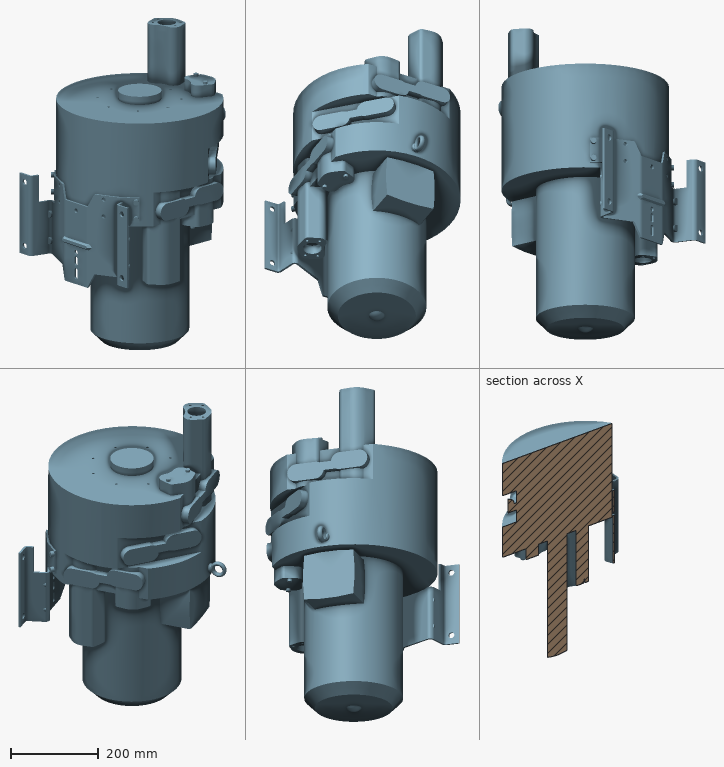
import math

import cadquery as cq


drum_radius = 191
stage_count = 3
stage_height = 80.5
stage_turn = 45
drum_height = 246.5
top_disc_radius = 49.5
top_disc_height = 19.5
top_hole_count = 8
top_hole_circle_radius = 95.5
small_hole_radius = 3
small_hole_depth = 10
overlap = 1

motor_radius = 113
motor_bottom_z = -328
motor_chamfer = 24
dome_radius = 18
dome_height = 8.03

box_center_z = -61
box_corner_x = 59.5
box_corner_z = 53
box_bulge_x = 62.5
box_bulge_z = 57
box_front_y = 167

flat_distance = 160
plate_distance = 177
plate_half_length = 97.13
plate_end_radius = 20.5
plate_end_offset = 8
plate_lobe_end = 9
plate_bridge_length = 46
plate_bridge_height = 20
port_pitch_radius = 147.6
port_angle = 22.8

port_half_width = 40.5
port_crown = 34.3
crown_radius = 36.7
shoulder_angle = math.radians(28.5)
shoulder_end = 35
lobe_radius = 18
lobe_depth = 12.5
lobe_center = port_half_width - lobe_radius
lobe_angle = math.radians(67)

pipe_top_z = 386
pipe_bore_radius = 21.3
pipe_bore_depth = 23
pipe_screw_tangential = 28.2
pipe_screw_radial = 14.3
cover_height = 28.6
cover_screw_spacing = 63
cover_screw_radius = 5.5
cover_screw_height = 6
lower_pipe_bottom_z = -145

eye_center_y = 213
eye_center_z = 21
eye_outer_radius = 19
eye_hole_radius = 9.8
eye_half_thickness = 6
eye_collar_radius = 10.5
eye_collar_end_y = 200
eye_collar_chamfer = 3
eye_stem_radius = 5

sheet = 5
bend_radius = 5.5
wide_bend_radius = 15
tangent_distance = 195
panel_angle = 25
ear_angle = 43.5
ear_end_offset = 13
ear_screw_offset = 6
center_y = -197
bracket_top_z = 70
bracket_bottom_z = -121.5
tongue_top_z = 37.7
tongue_bottom_z = -156
tongue_half_width = 38
shoulder_half_width = 54
relief_bottom_z = 5
relief_top_z = 11.6
relief_edge_x = 107
flange_knee_x = 132
foot_corner_x = 146.6
foot_end_x = 182.3
foot_bottom_y = -205.84
upper_flange_y = -185
foot_hole_x = 164.2
foot_hole_zs = (51.5, -100.8)
foot_hole_radius = 7
screw_row_zs = (60.5, 20)
panel_hole_x = 75
panel_hole_radius = 4.5
ear_screw_radius = 6.5
ear_screw_height = 8
flange_bolt_x = 130
flange_bolt_base_y = -156.5
flange_bolt_zs = (-26.5, -90)
flange_bolt_radius = 8
flange_bolt_height = 4
center_hole_radius = 5.5
center_hole_zs = (20, -80)
center_slots = ((-90, -111.5), (-118, -144))
spacer_radius = 15
rib_z = -58.2
rib_length = 99
rib_point_length = 8
rib_width = 18.4
rib_base_y = -194
rib_crest_y = -202
rib_taper = 35


def cylinder(radius, height, start, direction):
    return cq.Workplane(cq.Solid.makeCylinder(radius, height, cq.Vector(*start), cq.Vector(*direction)))


def block(x_range, y_range, z_range):
    size = [high - low for low, high in (x_range, y_range, z_range)]
    return cq.Workplane("XY").box(*size, centered=False).translate((x_range[0], y_range[0], z_range[0]))


def both_sides(body):
    return body.union(body.mirror("YZ"))



def make_drum():
    drum = cq.Workplane("XY").circle(drum_radius).extrude(drum_height)
    disc = cq.Workplane("XY").workplane(offset=drum_height).circle(top_disc_radius).extrude(top_disc_height)
    holes = (
        cq.Workplane("XY")
        .workplane(offset=drum_height - small_hole_depth)
        .polarArray(top_hole_circle_radius, 0, 360, top_hole_count)
        .circle(small_hole_radius)
        .extrude(small_hole_depth)
    )
    return drum.union(disc).cut(holes)


def make_motor():
    dome_bottom_z = motor_bottom_z - dome_height
    sphere_radius = (dome_radius**2 + dome_height**2) / (2 * dome_height)
    half_angle = math.asin(dome_radius / sphere_radius) / 2
    motor = (
        cq.Workplane("XY")
        .workplane(offset=motor_bottom_z)
        .circle(motor_radius)
        .extrude(-motor_bottom_z)
        .faces("<Z")
        .chamfer(motor_chamfer)
    )
    dome = (
        cq.Workplane("XZ")
        .moveTo(0, motor_bottom_z)
        .lineTo(dome_radius, motor_bottom_z)
        .threePointArc(
            (sphere_radius * math.sin(half_angle), dome_bottom_z + sphere_radius * (1 - math.cos(half_angle))),
            (0, dome_bottom_z),
        )
        .close()
        .revolve(360, (0, 0, 0), (0, 1, 0))
    )
    return motor.union(dome)


def make_terminal_box():
    return (
        cq.Workplane("XZ", origin=(0, box_front_y, box_center_z))
        .moveTo(-box_corner_x, box_corner_z)
        .threePointArc((0, box_bulge_z), (box_corner_x, box_corner_z))
        .threePointArc((box_bulge_x, 0), (box_corner_x, -box_corner_z))
        .threePointArc((0, -box_bulge_z), (-box_corner_x, -box_corner_z))
        .threePointArc((-box_bulge_x, 0), (-box_corner_x, box_corner_z))
        .close()
        .extrude(box_front_y)
    )



def stage_pocket(bottom_z, top_z):
    return block((-drum_radius, drum_radius), (flat_distance, drum_radius + overlap), (bottom_z, top_z))


def link_plate(center_z):
    thickness = plate_distance - flat_distance
    lobe_length = plate_half_length - plate_lobe_end
    lobe_x = (plate_half_length + plate_lobe_end) / 2
    plane = cq.Workplane("XZ", origin=(0, plate_distance, center_z))
    plate = plane.rect(plate_bridge_length, plate_bridge_height).extrude(thickness)
    for side in (-1, 1):
        lobe = plane.center(side * lobe_x, -side * plate_end_offset)
        plate = plate.union(lobe.slot2D(lobe_length, 2 * plate_end_radius).extrude(thickness))
    return plate


def port_plane(side, z):
    """Plane at a port: local x is tangential, local y points away from the shaft."""
    angle = math.radians(90 - side * port_angle)
    radial = cq.Vector(math.cos(angle), math.sin(angle), 0)
    tangential = cq.Vector(radial.y, -radial.x, 0)
    origin = radial * port_pitch_radius + cq.Vector(0, 0, z)
    return cq.Workplane(cq.Plane(origin=origin, xDir=tangential, normal=(0, 0, 1)))


def port_body(side, bottom_z, top_z):
    """Pipe or cover: side -1 lies towards -X and side 1 towards +X of the stage."""

    def lobe_point(angle):
        return lobe_center + lobe_radius * math.cos(angle), -lobe_depth - lobe_radius * math.sin(angle)

    joint_x, joint_y = lobe_point(math.pi - lobe_angle)
    middle_x, middle_y = lobe_point((math.pi - lobe_angle) / 2)
    crown_x = crown_radius * math.sin(shoulder_angle)
    crown_y = port_crown - crown_radius * (1 - math.cos(shoulder_angle))
    shoulder_y = crown_y - (shoulder_end - crown_x) * math.tan(shoulder_angle)
    corner_run = port_half_width - shoulder_end
    side_y = shoulder_y - corner_run * (math.tan(shoulder_angle) + 1 / math.cos(shoulder_angle))
    dip_center_y = -lobe_depth - lobe_center * math.tan(lobe_angle)
    dip_y = dip_center_y + math.hypot(joint_x, joint_y - dip_center_y)
    return (
        port_plane(side, bottom_z)
        .moveTo(-port_half_width, -lobe_depth)
        .lineTo(-port_half_width, side_y)
        .tangentArcPoint((-shoulder_end, shoulder_y), relative=False)
        .lineTo(-crown_x, crown_y)
        .threePointArc((0, port_crown), (crown_x, crown_y))
        .lineTo(shoulder_end, shoulder_y)
        .tangentArcPoint((port_half_width, side_y), relative=False)
        .lineTo(port_half_width, -lobe_depth)
        .threePointArc((middle_x, middle_y), (joint_x, joint_y))
        .threePointArc((0, dip_y), (-joint_x, joint_y))
        .threePointArc((-middle_x, middle_y), (-port_half_width, -lobe_depth))
        .close()
        .extrude(top_z - bottom_z)
    )


def pipe_openings(side, end_z, inward):
    bore = port_plane(side, end_z).circle(pipe_bore_radius).extrude(inward * pipe_bore_depth)
    screws = (
        port_plane(side, end_z)
        .rect(2 * pipe_screw_tangential, 2 * pipe_screw_radial, forConstruction=True)
        .vertices()
        .circle(small_hole_radius)
        .extrude(inward * small_hole_depth)
    )
    return bore.union(screws)


def cover_screws(side, face_z, outward):
    return (
        port_plane(side, face_z)
        .rarray(cover_screw_spacing, 1, 2, 1)
        .circle(cover_screw_radius)
        .extrude(outward * cover_screw_height)
    )


def add_top_ports(body):
    cover_z = drum_height + cover_height
    stage_z = (stage_count - 1) * stage_height
    body = body.union(port_body(-1, stage_z, pipe_top_z)).cut(pipe_openings(-1, pipe_top_z, -1))
    return body.union(port_body(1, stage_z, cover_z)).union(cover_screws(1, cover_z, 1))


def make_bottom_ports():
    pipe = port_body(1, lower_pipe_bottom_z, stage_height).cut(pipe_openings(1, lower_pipe_bottom_z, 1))
    cover = port_body(-1, -cover_height, stage_height).union(cover_screws(-1, -cover_height, -1))
    return pipe.union(cover)


def add_stages(body):
    """Each stage faces one turn further than the stage below; the top one faces +Y."""
    last = stage_count - 1
    z_axis = ((0, 0, 0), (0, 0, 1))
    for index in range(stage_count):
        bottom_z = index * stage_height
        top_z = drum_height if index == last else bottom_z + stage_height
        turn = stage_turn * (index - last)
        body = body.cut(stage_pocket(bottom_z, top_z).rotate(*z_axis, turn))
        plate = link_plate(bottom_z + stage_height / 2)
        body = body.union(plate.rotate(*z_axis, turn))
    body = add_top_ports(body)
    return body.union(make_bottom_ports().rotate(*z_axis, -last * stage_turn))



def make_lifting_eye():
    ring_radius = (eye_outer_radius + eye_hole_radius) / 2
    ring = (
        cq.Workplane("XY", origin=(0, eye_center_y, eye_center_z))
        .center(0, ring_radius)
        .ellipse(eye_half_thickness, (eye_outer_radius - eye_hole_radius) / 2)
        .revolve(360, (-1, -ring_radius, 0), (1, -ring_radius, 0))
    )
    base_y = flat_distance
    collar = cylinder(eye_collar_radius, eye_collar_end_y - base_y, (0, base_y, eye_center_z), (0, 1, 0))
    collar = collar.faces(">Y").chamfer(eye_collar_chamfer)
    stem_length = eye_center_y - ring_radius - base_y
    stem = cylinder(eye_stem_radius, stem_length, (0, base_y, eye_center_z), (0, 1, 0))
    return ring.union(collar).union(stem)



def tangent_normal(angle):
    """Outward direction at an angle from -Y towards -X."""
    return -math.sin(math.radians(angle)), -math.cos(math.radians(angle))


def sheet_strip(path, bottom_z, top_z):
    """Folded sheet with sharp bends whose middle plane follows the path."""
    headings = [math.atan2(b[1] - a[1], b[0] - a[0]) for a, b in zip(path, path[1:])]
    starts = headings[:1] + headings
    ends = headings + headings[-1:]
    offsets = []
    for before, after in zip(starts, ends):
        reach = sheet / 2 / math.cos((after - before) / 2)
        left = (before + after) / 2 + math.pi / 2
        offsets.append((reach * math.cos(left), reach * math.sin(left)))
    left_side = [(p[0] + o[0], p[1] + o[1]) for p, o in zip(path, offsets)]
    right_side = [(p[0] - o[0], p[1] - o[1]) for p, o in zip(path, offsets)]
    outline = left_side + right_side[::-1]
    return cq.Workplane("XY").workplane(offset=bottom_z).polyline(outline).close().extrude(top_z - bottom_z)


def round_bends(strip, bends, inner_radius):
    """Round the vertical edges at the bends: the short radius inside, the long one outside."""
    middle_z = strip.val().BoundingBox().center.z
    for (x, y), (inside_x, inside_y) in bends:
        for side, radius in ((1, inner_radius), (-1, inner_radius + sheet)):
            corner = (x + side * inside_x * sheet / 2, y + side * inside_y * sheet / 2, middle_z)
            strip = strip.edges("|Z").edges(cq.selectors.NearestToPointSelector(corner)).fillet(radius)
    return strip


middle_distance = tangent_distance - sheet / 2


def panel_x_at(y):
    normal_x, normal_y = tangent_normal(panel_angle)
    return (middle_distance - normal_y * y) / normal_x


def panel_y_at(x):
    normal_x, normal_y = tangent_normal(panel_angle)
    return (middle_distance - normal_x * x) / normal_y


def ear_point(offset):
    """Point on the ear's middle plane, at an offset outward from where it faces the shaft."""
    normal_x, normal_y = tangent_normal(ear_angle)
    return (
        normal_x * middle_distance + normal_y * offset,
        normal_y * middle_distance - normal_x * offset,
    )


def ear_corner():
    """Corner where the middle planes of panel and ear meet."""
    normal_x, normal_y = tangent_normal((panel_angle + ear_angle) / 2)
    reach = middle_distance / math.cos(math.radians((ear_angle - panel_angle) / 2))
    return normal_x * reach, normal_y * reach


def front_prism(points):
    """Prism through the whole bracket depth, outlined in X and Z."""
    return cq.Workplane("XZ").polyline(points).close().extrude(-2 * foot_bottom_y)


def make_center_panel():
    middle_y = center_y + sheet / 2
    corner = ear_corner()
    bend = (panel_x_at(middle_y), middle_y)
    path = [corner, bend, (-bend[0], bend[1]), (-corner[0], corner[1])]
    strip = sheet_strip(path, tongue_bottom_z, bracket_top_z)
    strip = round_bends(strip, [(point, (0, 1)) for point in path[1:3]], wide_bend_radius)
    panel_end_x = -corner[0] + sheet
    half_outline = [
        (tongue_half_width, tongue_bottom_z),
        (shoulder_half_width, bracket_bottom_z),
        (panel_end_x, bracket_bottom_z),
        (panel_end_x, bracket_top_z),
        (shoulder_half_width, bracket_top_z),
        (tongue_half_width, tongue_top_z),
    ]
    mirrored = [(-x, z) for x, z in reversed(half_outline)]
    return strip.intersect(front_prism(half_outline + mirrored))


def panel_start():
    """Point inside the panel from which the ear and the flange continue it."""
    start_x = sheet - relief_edge_x
    return start_x, panel_y_at(start_x)


def make_ear():
    return sheet_strip([panel_start(), ear_corner(), ear_point(ear_end_offset)], relief_top_z, bracket_top_z)


def make_flange():
    foot_y = foot_bottom_y + sheet / 2
    knee = (-flange_knee_x, panel_y_at(-flange_knee_x))
    foot_corner = (-foot_corner_x, foot_y)
    path = [panel_start(), knee, foot_corner, (-foot_end_x, foot_y)]
    flange = sheet_strip(path, bracket_bottom_z, bracket_top_z)
    flange = round_bends(flange, [(knee, (1, -1)), (foot_corner, (-1, 1))], bend_radius)
    upper_cut = block((-foot_end_x, 0), (upper_flange_y, 0), (relief_bottom_z, bracket_top_z))
    return flange.cut(upper_cut)


def bracket_openings():
    depth = -2 * foot_bottom_y
    plane = cq.Workplane("XZ")
    feet = [(side * foot_hole_x, z) for side in (-1, 1) for z in foot_hole_zs]
    panels = [(side * panel_hole_x, z) for side in (-1, 1) for z in screw_row_zs]
    center = [(0, z) for z in center_hole_zs]
    openings = plane.pushPoints(feet).circle(foot_hole_radius).extrude(depth)
    openings = openings.union(plane.pushPoints(panels).circle(panel_hole_radius).extrude(depth))
    openings = openings.union(plane.pushPoints(center).circle(center_hole_radius).extrude(depth))
    for top_z, bottom_z in center_slots:
        slot = plane.center(0, (top_z + bottom_z) / 2)
        openings = openings.union(slot.slot2D(top_z - bottom_z, 2 * center_hole_radius, 90).extrude(depth))
    return openings


def make_fasteners():
    screw_length = sheet / 2 + ear_screw_height
    screw_x, screw_y = ear_point(ear_screw_offset)
    normal_x, normal_y = tangent_normal(ear_angle)
    fasteners = cq.Workplane("XY")
    for z in screw_row_zs:
        screw = cylinder(ear_screw_radius, screw_length, (screw_x, screw_y, z), (normal_x, normal_y, 0))
        fasteners = fasteners.union(screw)
    bolt_length = sheet / 2 + flange_bolt_height
    for z in flange_bolt_zs:
        bolt_base = (-flange_bolt_x, flange_bolt_base_y, z)
        fasteners = fasteners.union(cylinder(flange_bolt_radius, bolt_length, bolt_base, (0, -1, 0)))
    return fasteners


def make_rib():
    """Ridge across the panel with sloped flanks and pointed ends."""
    half_length = rib_length / 2
    straight = half_length - rib_point_length
    half_width = rib_width / 2
    outline = [
        (-half_length, 0),
        (-straight, half_width),
        (straight, half_width),
        (half_length, 0),
        (straight, -half_width),
        (-straight, -half_width),
    ]
    plane = cq.Workplane("XZ", origin=(0, rib_base_y, rib_z))
    return plane.polyline(outline).close().extrude(rib_base_y - rib_crest_y, taper=rib_taper)


def make_bracket():
    side = make_ear().union(make_flange())
    relief = block(
        (-foot_end_x, -relief_edge_x),
        (upper_flange_y, 0),
        (relief_bottom_z, relief_top_z),
    )
    spacer_start = (0, overlap - drum_radius, center_hole_zs[0])
    spacer_length = spacer_start[1] - center_y - sheet / 2
    spacer = cylinder(spacer_radius, spacer_length, spacer_start, (0, -1, 0))
    bracket = make_center_panel().union(both_sides(side)).cut(both_sides(relief))
    bracket = bracket.union(spacer)
    bracket = bracket.cut(bracket_openings())
    return bracket.union(both_sides(make_fasteners())).union(make_rib())


result = add_stages(make_drum().union(make_motor()).union(make_terminal_box()))
result = result.union(make_lifting_eye()).union(make_bracket())